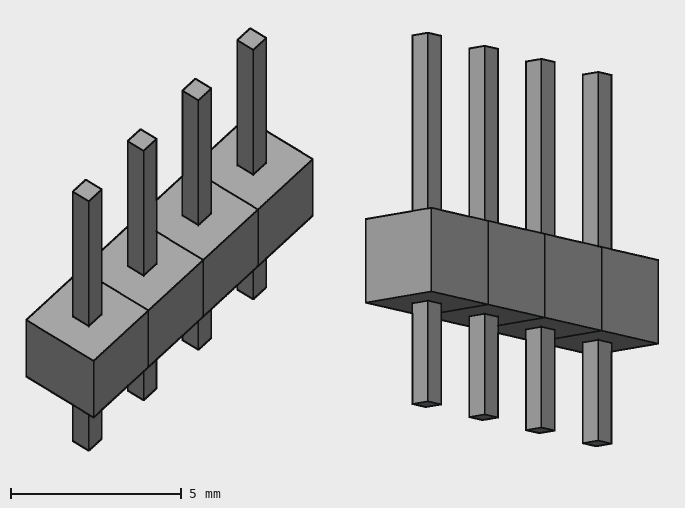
import cadquery as cq

pin_count = 4
pitch = 2.54
pin_length = 11.0
pin_side = 0.6
tail_length = 3.0
housing_height = 2.5


def make_housing(y_center):
    """Square insulator block with a through hole that fits its pin."""
    block = cq.Workplane("XY").box(pitch, pitch, housing_height, centered=(True, True, False))
    block = block.faces(">Z").workplane().rect(pin_side, pin_side).cutThruAll()
    return block.translate((0, y_center, 0)).val()


def make_pin(y_center):
    """Straight square pin that passes through its housing."""
    pin = cq.Workplane("XY").box(pin_side, pin_side, pin_length, centered=(True, True, False))
    return pin.translate((0, y_center, -tail_length)).val()


pin_positions = [(index - (pin_count - 1) / 2) * pitch for index in range(pin_count)]
housings = [make_housing(y) for y in pin_positions]
pins = [make_pin(y) for y in pin_positions]

result = cq.Compound.makeCompound([*housings, *pins])